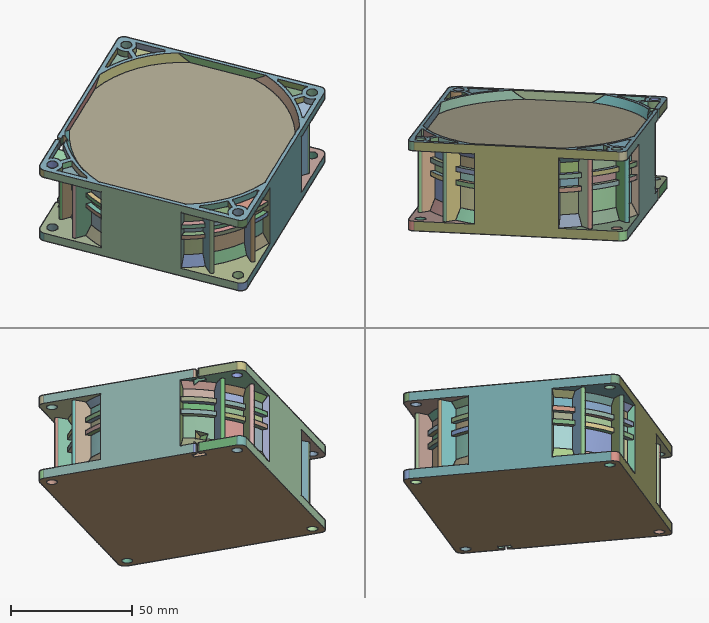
import cadquery as cq
import math

SIDE = 92.0
HEIGHT = 38.05
HALF = SIDE / 2
CORNER_RADIUS = 3.0

LOWER_FLANGE = 4.15
OPENING_HEIGHT = 30.0
UPPER_FLANGE_Z = LOWER_FLANGE + OPENING_HEIGHT
OPENING_START = 17.75

DRUM_RADIUS = 46.4
LOWER_FLARE_RADIUS = 48.8
LOWER_FLARE_TOP_Z = 9.1
UPPER_FLARE_RADIUS = 48.5
UPPER_FLARE_BOTTOM_Z = 31.4

RING_RADIUS = 48.6
RING_HEIGHT = 2.0
RING_BASES = (19.15, 24.9)

RECESS_HALF = 44.4
RECESS_TOP_RADIUS = 48.5
RECESS_FLOOR_RADIUS = 46.6
RECESS_DEPTH = 3.6

HOLE_OFFSET = 41.25
HOLE_DIAMETER = 4.5

POCKET_DEPTH = 3.0
POCKET_EDGE = 44.0
POCKET_INNER_RADIUS = 50.0
POCKET_END = 25.1
HOLE_WALL_RADIUS = 4.2
POCKET_RIB = 2.0

RIB_THICKNESS = 2.0
RIB_LENGTH = 15.0
RIB_NEAR = 30.4
RIB_FAR = 43.4
WIRE_RIB_END = (-40.0, -34.3)

NOTCH_X = (-44.05, -41.85)
NOTCH_Y = (-27.9, -22.3)
SLOT_Y = -25.0
SLOT_WIDTH = 1.1
SLOT_MOUTH_RADIUS = 0.75

WIRE_POCKET_BACK = (-37.9, -25.2, 9.75)
WIRE_POCKET_WIDTH = 4.4
WIRE_POCKET_HEIGHT = 3.4
WIRE_POCKET_SLOPE = 16.0
WIRE_POCKET_TURN = -12.0
WIRE_POCKET_LENGTH = 6.0

CORNER_SIGNS = [(sx, sy) for sx in (-1, 1) for sy in (-1, 1)]


def box_between(x_range, y_range, z_range):
    """Axis-aligned box from its limits along X, Y and Z."""
    spans = [high - low for low, high in (x_range, y_range, z_range)]
    return cq.Workplane("XY").box(*spans, centered=False).translate(
        (x_range[0], y_range[0], z_range[0])
    )


def cylinder(radius, base_z, height):
    return cq.Workplane("XY").workplane(offset=base_z).circle(radius).extrude(height)


def make_block():
    block = cq.Workplane("XY").rect(SIDE, SIDE).extrude(HEIGHT)
    return block.edges("|Z").fillet(CORNER_RADIUS)


def make_drum():
    """Solid of revolution left standing inside the corner openings."""
    return (
        cq.Workplane("XZ")
        .moveTo(0, LOWER_FLANGE)
        .lineTo(LOWER_FLARE_RADIUS, LOWER_FLANGE)
        .lineTo(DRUM_RADIUS, LOWER_FLARE_TOP_Z)
        .lineTo(DRUM_RADIUS, UPPER_FLARE_BOTTOM_Z)
        .lineTo(UPPER_FLARE_RADIUS, UPPER_FLANGE_Z)
        .lineTo(0, UPPER_FLANGE_Z)
        .close()
        .revolve(360, (0, 0, 0), (0, 1, 0))
    )


def make_openings():
    """Four corner openings outside the drum."""
    size = HALF - OPENING_START
    centre = (HALF + OPENING_START) / 2
    corners = [(sx * centre, sy * centre) for sx, sy in CORNER_SIGNS]
    blocks = (
        cq.Workplane("XY")
        .workplane(offset=LOWER_FLANGE)
        .pushPoints(corners)
        .rect(size, size)
        .extrude(OPENING_HEIGHT)
    )
    return blocks.cut(make_drum())


def make_wire_notch():
    """Notch through both flanges with a round-mouthed slot to the -X side."""
    full_height = (0, HEIGHT)
    notch = box_between(NOTCH_X, NOTCH_Y, full_height)
    slot_half = SLOT_WIDTH / 2
    mouth_half = slot_half + SLOT_MOUTH_RADIUS
    mouth_end = -HALF + SLOT_MOUTH_RADIUS
    slot = (
        cq.Workplane("XY")
        .moveTo(-HALF, SLOT_Y - mouth_half)
        .radiusArc((mouth_end, SLOT_Y - slot_half), SLOT_MOUTH_RADIUS)
        .lineTo(NOTCH_X[1], SLOT_Y - slot_half)
        .lineTo(NOTCH_X[1], SLOT_Y + slot_half)
        .lineTo(mouth_end, SLOT_Y + slot_half)
        .radiusArc((-HALF, SLOT_Y + mouth_half), SLOT_MOUTH_RADIUS)
        .close()
        .extrude(HEIGHT)
    )
    return notch.union(slot)


def make_wire_pocket():
    """Tilted blind box entering the drum from the -X side."""
    box = cq.Workplane("XY").box(
        WIRE_POCKET_LENGTH, WIRE_POCKET_WIDTH, WIRE_POCKET_HEIGHT, centered=(False, True, True)
    )
    return (
        box.translate((-WIRE_POCKET_LENGTH, 0, 0))
        .rotate((0, 0, 0), (0, 1, 0), WIRE_POCKET_SLOPE)
        .rotate((0, 0, 0), (0, 0, 1), WIRE_POCKET_TURN)
        .translate(WIRE_POCKET_BACK)
    )


def make_rings():
    """Two rings, kept inside the square outline of the block."""
    rings = cylinder(RING_RADIUS, RING_BASES[0], RING_HEIGHT)
    for base in RING_BASES[1:]:
        rings = rings.union(cylinder(RING_RADIUS, base, RING_HEIGHT))
    return rings.intersect(make_block())


def make_rib(x, y):
    """Diagonal rib with its rounded end centred on (x, y), running inward."""
    end = cylinder(RIB_THICKNESS / 2, LOWER_FLANGE, OPENING_HEIGHT)
    web = (
        cq.Workplane("XY")
        .workplane(offset=LOWER_FLANGE)
        .center(RIB_LENGTH / 2, 0)
        .rect(RIB_LENGTH, RIB_THICKNESS)
        .extrude(OPENING_HEIGHT)
    )
    inward = math.degrees(math.atan2(-math.copysign(1, y), -math.copysign(1, x)))
    return end.union(web).rotate((0, 0, 0), (0, 0, 1), inward).translate((x, y, 0))


def rib_ends():
    """Rounded-end centres: two per corner, one of them moved for the wire notch."""
    ends = []
    for sx, sy in CORNER_SIGNS:
        ends.append((sx * RIB_NEAR, sy * RIB_FAR))
        if (sx, sy) == (-1, -1):
            ends.append(WIRE_RIB_END)
        else:
            ends.append((sx * RIB_FAR, sy * RIB_NEAR))
    return ends


def make_recess():
    """Flared circular recess with four flat sides."""
    cone = (
        cq.Workplane("XY")
        .workplane(offset=HEIGHT - RECESS_DEPTH)
        .circle(RECESS_FLOOR_RADIUS)
        .workplane(offset=RECESS_DEPTH)
        .circle(RECESS_TOP_RADIUS)
        .loft()
    )
    return cone.intersect(cq.Workplane("XY").rect(2 * RECESS_HALF, 2 * RECESS_HALF).extrude(HEIGHT))


def make_pockets():
    """Pair of pockets beside every mounting hole."""
    base = HEIGHT - POCKET_DEPTH
    size = POCKET_EDGE - POCKET_END
    centre = (POCKET_EDGE + POCKET_END) / 2
    pockets = (
        cq.Workplane("XY")
        .workplane(offset=base)
        .pushPoints([(sx * centre, sy * centre) for sx, sy in CORNER_SIGNS])
        .rect(size, size)
        .extrude(POCKET_DEPTH)
    )
    pockets = pockets.cut(cylinder(POCKET_INNER_RADIUS, base, POCKET_DEPTH))
    hole_walls = (
        cq.Workplane("XY")
        .workplane(offset=base)
        .pushPoints(hole_centres())
        .circle(HOLE_WALL_RADIUS)
        .extrude(POCKET_DEPTH)
    )
    pockets = pockets.cut(hole_walls)
    for angle in (45, -45):
        rib = (
            cq.Workplane("XY")
            .workplane(offset=base)
            .rect(2 * SIDE, POCKET_RIB)
            .extrude(POCKET_DEPTH)
            .rotate((0, 0, 0), (0, 0, 1), angle)
        )
        pockets = pockets.cut(rib)
    return pockets


def hole_centres():
    return [(sx * HOLE_OFFSET, sy * HOLE_OFFSET) for sx, sy in CORNER_SIGNS]


def make_mounting_holes():
    return cq.Workplane("XY").pushPoints(hole_centres()).circle(HOLE_DIAMETER / 2).extrude(HEIGHT)


result = make_block().cut(make_openings()).cut(make_wire_notch())
result = result.cut(make_wire_pocket())
result = result.union(make_rings())
for end_x, end_y in rib_ends():
    result = result.union(make_rib(end_x, end_y))
result = result.cut(make_recess()).cut(make_pockets()).cut(make_mounting_holes())